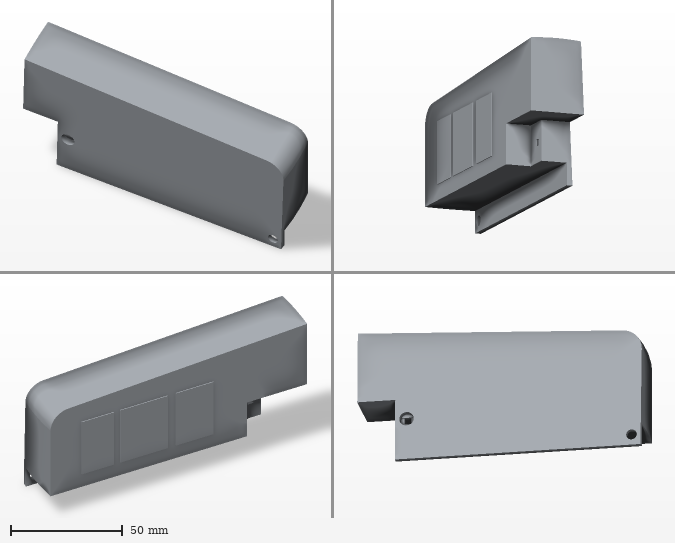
import cadquery as cq
import math

length = 129.7
height = 62.9
depth = 27.1
badge_relief = 0.4
back_y = depth - badge_relief

end_height = 55.9
corner_radius = 10.0
notch_length = 17.3
notch_height = 28.9
body_bottom = 10.2
lip_thickness = 2.7
back_notch_length = 30.2
front_lean = 2.7

crown_y = 14.9
crown_radius = 116.7

lip_hole_diameter = 4.8
lip_hole_x = 124.7
lip_hole_z = 4.9
bore_diameter = 6.5
bore_depth = 3.9
slot_depth = 0.6
square_width = 3.1
screw_x = 22.5
screw_z = 19.5

badges = [(47.3, 18.8), (70.3, 23.9), (97.3, 16.2)]
badge_bottom = 17.4
badge_top = 46.3

margin = 6.5
slope = math.atan2(height - end_height, length)


def box(x0, x1, y0, y1, z0, z1):
    return cq.Workplane("XY").box(x1 - x0, y1 - y0, z1 - z0, centered=False).translate((x0, y0, z0))


def make_body():
    outline = [
        (0, notch_height),
        (0, height),
        (length, end_height),
        (length, 0),
        (notch_length, 0),
        (notch_length, notch_height),
    ]
    body = cq.Workplane("XZ").polyline(outline).close().extrude(-back_y)
    corner = cq.selectors.NearestToPointSelector((length, back_y / 2, end_height))
    body = body.edges(corner).fillet(corner_radius)
    body = body.cut(box(0, back_notch_length, crown_y, depth, 0, notch_height))
    return body.cut(box(0, length + margin, lip_thickness, depth, 0, body_bottom))


def front_cutter():
    """Wedge that leans the front face back toward the top."""
    return (
        cq.Workplane("YZ")
        .polyline([(0, 0), (front_lean, height), (0, height)])
        .close()
        .extrude(length)
    )


def crown_cutter():
    """Strip outside the crown arc, swept over the sloping top, the corner and the end."""
    setback = corner_radius * math.tan((math.pi / 2 - slope) / 2)
    center_x = length - corner_radius
    arc_end_z = end_height - setback
    arc_start_x = length - setback * math.cos(slope)
    arc_start_z = end_height + setback * math.sin(slope)
    mid_angle = (math.pi / 2 - slope) / 2
    arc_mid = (
        center_x + corner_radius * math.cos(mid_angle),
        arc_end_z + corner_radius * math.sin(mid_angle),
    )
    start_z = height + margin * math.tan(slope)
    path = (
        cq.Workplane("XZ")
        .moveTo(-margin, start_z)
        .lineTo(arc_start_x, arc_start_z)
        .threePointArc(arc_mid, (length, arc_end_z))
        .lineTo(length, -margin)
    )
    half_width = crown_y + 1.3
    drop = crown_radius - math.sqrt(crown_radius**2 - half_width**2)
    plane = cq.Plane(
        origin=(-margin, crown_y, start_z),
        xDir=(0, 1, 0),
        normal=(math.cos(slope), 0, -math.sin(slope)),
    )
    return (
        cq.Workplane(plane)
        .moveTo(-half_width, -drop)
        .threePointArc((0, 0), (half_width, -drop))
        .lineTo(half_width, margin)
        .lineTo(-half_width, margin)
        .close()
        .sweep(path)
    )


def round_cutter(x, z, diameter, hole_depth):
    return cq.Workplane("XZ").center(x, z).circle(diameter / 2).extrude(-hole_depth)


def screw_cutter():
    """Round bore, then a slot across it, then a square hole out to the open notch behind."""
    half = square_width / 2
    z0 = screw_z - half
    z1 = screw_z + half
    slot_end = bore_depth + slot_depth
    bore = round_cutter(screw_x, screw_z, bore_diameter, bore_depth)
    slot = round_cutter(screw_x, screw_z, bore_diameter, slot_end).intersect(
        box(0, length, 0, slot_end, z0, z1)
    )
    square = box(screw_x - half, screw_x + half, 0, depth, z0, z1)
    return bore.union(slot).union(square)


result = make_body().cut(front_cutter()).cut(crown_cutter())
result = result.cut(round_cutter(lip_hole_x, lip_hole_z, lip_hole_diameter, depth))
result = result.cut(screw_cutter())
for badge_x, badge_width in badges:
    result = result.union(
        box(badge_x, badge_x + badge_width, back_y - badge_relief, depth, badge_bottom, badge_top)
    )